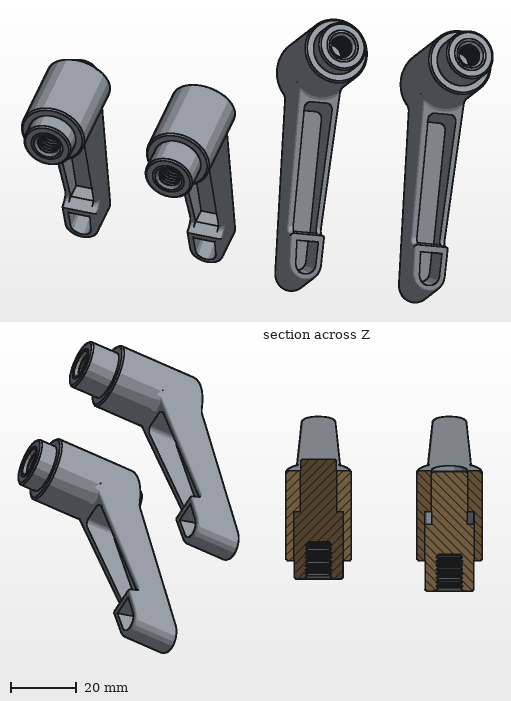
import cadquery as cq
import math


LEVER_COUNT = 2
LEVER_PITCH = 40.0
INSERT_TRAVEL = 3.75

HUB_RADIUS = 10.0
HUB_FRONT_CHAMFER = 0.5
HUB_BACK_Y = 27.6
LEAN = math.radians(14.5)

ARM_BOTTOM_Z = -64.8
TIP_RADIUS = 5.25
SIDE_DRAFT = math.radians(1.6)
FRONT_SLOPE = math.radians(20.3)
LEDGE_SLOPE = math.radians(24.6)
CORNER_Y = 30.3
CORNER_Z = -49.55
LEDGE_EDGE_Y = 26.5
EDGE_FILLET = 1.0
SIDE_ROOT_FILLET = 3.0
FRONT_ROOT_FILLET = 2.0
LEDGE_FILLET = 2.0

BACK_WALL = 4.95
UPPER_MOUTH_Y = 15.0
UPPER_DRAFT = 1.5
UPPER_TOP_Z = -12.05
UPPER_TOP_HALF_WIDTH = 4.6
UPPER_BOTTOM_HALF_WIDTH = 3.9
UPPER_CORNER_RADIUS = 2.0
LEDGE_WALL_DRAFT = 2.5
LOWER_DRAFT = 1.5
LOWER_TOP_Z = -53.2
LOWER_TOP_HALF_WIDTH = 3.5
LOWER_END_RADIUS = 3.3
LOWER_BOTTOM_Z = -63.0
LOWER_LEAD = 2.25
LOWER_PULL = math.radians(20.0)

COLLAR_RADIUS = 7.5
COLLAR_PROTRUSION = 5.55
COLLAR_SEAT_Y = 15.0
STEM_RADIUS = 5.5
INSERT_LENGTH = 36.6
INSERT_CHAMFER = 0.5

RECESS_RADIUS = 5.0
RECESS_DEPTH = 0.1
COUNTERSINK_RADIUS = 4.3
CREST_RADIUS = 3.3
ROOT_RADIUS = 4.0
THREAD_PITCH = 1.3
CREST_WIDTH = 0.3
THREAD_TURNS = 8


def back_y(z):
    """Y of the back face of hub and arm at height z."""
    return HUB_BACK_Y - z * math.tan(LEAN)


def floor_y(z):
    """Y of the pocket floor at height z."""
    return back_y(z) - BACK_WALL


def front_y(z):
    """Y of the arm's front face above the ledge at height z."""
    return CORNER_Y - (z - CORNER_Z) * math.tan(FRONT_SLOPE)


LEDGE_EDGE_Z = CORNER_Z - (CORNER_Y - LEDGE_EDGE_Y) * math.tan(LEDGE_SLOPE)
RIM_TOP = (LEDGE_EDGE_Y, LEDGE_EDGE_Z)
RIM_BOTTOM = (LEDGE_EDGE_Y + (LEDGE_EDGE_Z - ARM_BOTTOM_Z) * math.tan(LEAN), ARM_BOTTOM_Z)


def side_prism(points, width):
    """Closed (y, z) outline, made into a prism centred on X = 0."""
    return cq.Workplane("YZ").polyline(points).close().extrude(width / 2, both=True)


def hub():
    """Cylinder along Y, cut off at the back by the leaning face."""
    body = cq.Workplane("XZ").circle(HUB_RADIUS).extrude(-back_y(-HUB_RADIUS))
    body = body.faces("<Y").chamfer(HUB_FRONT_CHAMFER)
    keep = side_prism(
        [
            (0, HUB_RADIUS),
            (back_y(HUB_RADIUS), HUB_RADIUS),
            (back_y(-HUB_RADIUS), -HUB_RADIUS),
            (0, -HUB_RADIUS),
        ],
        2 * HUB_RADIUS,
    )
    return body.intersect(keep)


def arm():
    """Side profile crossed with the tapered, round-tipped front outline; it starts on the hub axis."""
    profile = side_prism(
        [
            (front_y(0), 0),
            (back_y(0), 0),
            (back_y(ARM_BOTTOM_Z), ARM_BOTTOM_Z),
            RIM_BOTTOM,
            RIM_TOP,
            (CORNER_Y, CORNER_Z),
        ],
        2 * HUB_RADIUS,
    )
    corner = cq.selectors.NearestToPointSelector((0, CORNER_Y, CORNER_Z))
    profile = profile.edges(corner).fillet(LEDGE_FILLET)

    tip_z = ARM_BOTTOM_Z + TIP_RADIUS
    tangent_x = TIP_RADIUS * math.cos(SIDE_DRAFT)
    tangent_z = tip_z - TIP_RADIUS * math.sin(SIDE_DRAFT)
    top_x = tangent_x - tangent_z * math.tan(SIDE_DRAFT)
    outline = (
        cq.Workplane("XZ")
        .moveTo(-top_x, 0)
        .lineTo(top_x, 0)
        .lineTo(tangent_x, tangent_z)
        .threePointArc((0, ARM_BOTTOM_Z), (-tangent_x, tangent_z))
        .close()
        .extrude(-2 * back_y(ARM_BOTTOM_Z))
    )
    return profile.intersect(outline)


def solid_lever():
    """Hub and arm, blended where they meet and rounded along the arm's front and back outlines."""
    body = hub().union(arm())

    side_roots = cq.selectors.BoxSelector(
        (-HUB_RADIUS, 0, -HUB_RADIUS), (HUB_RADIUS, HUB_BACK_Y, -HUB_RADIUS / 2)
    )
    body = body.edges("|Y").edges(side_roots).fillet(SIDE_ROOT_FILLET)

    arm_edges = body.edges("not(|X or |Y)").filter(lambda edge: edge.Center().z < -HUB_RADIUS)
    front_outline = arm_edges.filter(lambda edge: edge.Center().y < floor_y(edge.Center().z))
    body = front_outline.fillet(EDGE_FILLET)

    front_root = cq.selectors.NearestToPointSelector((0, front_y(-HUB_RADIUS), -HUB_RADIUS))
    body = body.edges(front_root).fillet(FRONT_ROOT_FILLET)

    back_face = cq.selectors.NearestToPointSelector((0, back_y(ARM_BOTTOM_Z / 2), ARM_BOTTOM_Z / 2))
    return body.faces(back_face).edges().fillet(EDGE_FILLET)


def pull_plane(y, z, rise):
    """Plane through (0, y, z) facing +Y, with its normal raised by the angle `rise`."""
    return cq.Plane(origin=(0, y, z), xDir=(-1, 0, 0), normal=(0, math.cos(rise), math.sin(rise)))


def upper_pocket():
    """Long recess above the ledge; the ledge runs on into it and a wall closes it below."""
    outline = cq.Workplane(pull_plane(UPPER_MOUTH_Y, 0, 0)).polyline(
        [
            (-UPPER_TOP_HALF_WIDTH, UPPER_TOP_Z),
            (UPPER_TOP_HALF_WIDTH, UPPER_TOP_Z),
            (UPPER_BOTTOM_HALF_WIDTH, ARM_BOTTOM_Z),
            (-UPPER_BOTTOM_HALF_WIDTH, ARM_BOTTOM_Z),
        ]
    )
    tapered = outline.close().extrude(back_y(ARM_BOTTOM_Z) - UPPER_MOUTH_Y, taper=UPPER_DRAFT)
    tapered = tapered.faces(">Z").edges("not |X").fillet(UPPER_CORNER_RADIUS)

    wall_depth = floor_y(CORNER_Z) - CORNER_Y
    wall_z = CORNER_Z + wall_depth * math.tan(math.radians(LEDGE_WALL_DRAFT))
    cavity = side_prism(
        [
            (floor_y(0), 0),
            (floor_y(wall_z), wall_z),
            (CORNER_Y, CORNER_Z),
            RIM_TOP,
            (0, LEDGE_EDGE_Z),
            (0, 0),
        ],
        2 * HUB_RADIUS,
    )
    return tapered.intersect(cavity)


def lower_pocket():
    """Round-bottomed recess in the rim below the ledge, rising towards its floor."""
    rim_y = LEDGE_EDGE_Y + (LEDGE_EDGE_Z - LOWER_TOP_Z) * math.tan(LEAN)
    height = (LOWER_TOP_Z - LOWER_BOTTOM_Z) / math.cos(LEAN) * math.cos(LOWER_PULL - LEAN)
    tapered = (
        cq.Workplane(pull_plane(rim_y, LOWER_TOP_Z, LOWER_PULL))
        .workplane(offset=-LOWER_LEAD)
        .moveTo(-LOWER_TOP_HALF_WIDTH, 0)
        .lineTo(LOWER_TOP_HALF_WIDTH, 0)
        .lineTo(LOWER_END_RADIUS, LOWER_END_RADIUS - height)
        .threePointArc((0, -height), (-LOWER_END_RADIUS, LOWER_END_RADIUS - height))
        .close()
        .extrude(2 * (LOWER_LEAD + back_y(LOWER_TOP_Z) - rim_y), taper=LOWER_DRAFT)
    )
    cavity = side_prism(
        [(floor_y(0), 0), (floor_y(ARM_BOTTOM_Z), ARM_BOTTOM_Z), (0, ARM_BOTTOM_Z), (0, 0)],
        2 * HUB_RADIUS,
    )
    return tapered.intersect(cavity)


def hub_bore():
    """Stepped bore for the insert, open at both ends of the hub."""
    collar = cq.Workplane("XZ").circle(COLLAR_RADIUS).extrude(-COLLAR_SEAT_Y)
    stem = cq.Workplane("XZ").circle(STEM_RADIUS).extrude(-back_y(-HUB_RADIUS))
    return collar.union(stem)


def lever():
    """Finished lever with its pockets and the bore for the insert."""
    return solid_lever().cut(upper_pocket()).cut(lower_pocket()).cut(hub_bore())


def threaded_hole(front):
    """Blind hole along +Y from y = front, with a V groove for each turn of the thread."""
    countersink_end = front + RECESS_DEPTH + COUNTERSINK_RADIUS - CREST_RADIUS
    points = [
        (0, front),
        (RECESS_RADIUS, front),
        (RECESS_RADIUS, front + RECESS_DEPTH),
        (COUNTERSINK_RADIUS, front + RECESS_DEPTH),
        (CREST_RADIUS, countersink_end),
    ]
    for turn in range(THREAD_TURNS):
        groove_start = countersink_end + turn * THREAD_PITCH
        groove_end = groove_start + THREAD_PITCH - CREST_WIDTH
        points.append((ROOT_RADIUS, (groove_start + groove_end) / 2))
        points.append((CREST_RADIUS, groove_end))
        points.append((CREST_RADIUS, groove_start + THREAD_PITCH))
    points.append((0, countersink_end + THREAD_TURNS * THREAD_PITCH))
    return cq.Workplane("XY").polyline(points).close().revolve(360, (0, 0, 0), (0, 1, 0))


def insert():
    """Collar and stem on one axis, seated on the shoulder of the hub bore."""
    front = -COLLAR_PROTRUSION
    collar = cq.Workplane("XZ", origin=(0, front, 0)).circle(COLLAR_RADIUS).extrude(front - COLLAR_SEAT_Y)
    collar = collar.faces("<Y").chamfer(INSERT_CHAMFER)
    stem = cq.Workplane("XZ", origin=(0, front, 0)).circle(STEM_RADIUS).extrude(-INSERT_LENGTH)
    stem = stem.faces(">Y").chamfer(INSERT_CHAMFER)
    return collar.union(stem).cut(threaded_hole(front))


lever_body = lever().solids()
insert_body = insert().solids()
levers = []
inserts = []
for index in range(LEVER_COUNT):
    x = index * LEVER_PITCH
    levers.append(lever_body.translate((x, 0, 0)).val())
    inserts.append(insert_body.translate((x, -index * INSERT_TRAVEL, 0)).val())

result = cq.Compound.makeCompound([*levers, *inserts])